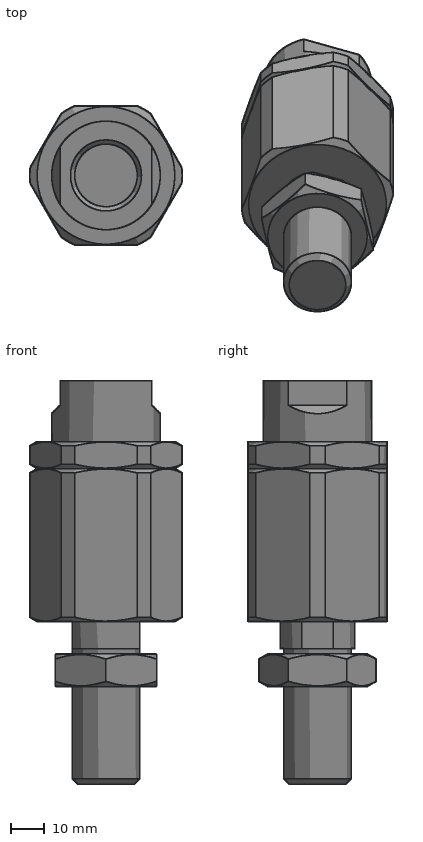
import cadquery as cq
import math

overall_height = 119
housing_base_z = 48.0
groove_z = 93.0
shoulder_z = 101.0
collar_base_z = 40.0
nut_base_z = 28.8
nut_height = 9.6

housing_flats = 41.0
housing_corner_diameter = 45.0
housing_face_diameter = 40.6
neck_diameter = 32.0
neck_flats = 27.0
neck_flat_depth = 7.3
bore_diameter = 18.5
bore_mouth_diameter = 21.0
bore_depth = 23.8

stud_diameter = 20.0
stud_chamfer = 1.7
collar_diameter = 22.0
collar_flats = stud_diameter
nut_flats = 30.0
nut_face_diameter = 29.3

hex_chamfer_angle = math.radians(30)


def cylinder(diameter, base_z, top_z):
    return cq.Workplane("XY").workplane(offset=base_z).circle(diameter / 2).extrude(top_z - base_z)


def chamfered_hex(flats, corner_diameter, face_diameter, base_z, top_z):
    """Hexagonal prism with corners on X, turned to corner_diameter with 30 degree end chamfers."""
    point_diameter = flats / math.cos(math.pi / 6)
    corner_radius = corner_diameter / 2
    face_radius = face_diameter / 2
    drop = (corner_radius - face_radius) * math.tan(hex_chamfer_angle)
    prism = cq.Workplane("XY").workplane(offset=base_z).polygon(6, point_diameter).extrude(top_z - base_z)
    turned_envelope = (
        cq.Workplane("XZ")
        .moveTo(0, base_z)
        .lineTo(face_radius, base_z)
        .lineTo(corner_radius, base_z + drop)
        .lineTo(corner_radius, top_z - drop)
        .lineTo(face_radius, top_z)
        .lineTo(0, top_z)
        .close()
        .revolve(360, (0, 0, 0), (0, 1, 0))
    )
    return prism.intersect(turned_envelope)


def housing_hex(base_z, top_z):
    return chamfered_hex(housing_flats, housing_corner_diameter, housing_face_diameter, base_z, top_z)


def make_neck():
    """Round neck with two wrench flats that run out at 45 degrees."""
    neck_radius = neck_diameter / 2
    flat_x = neck_flats / 2
    flat_end_z = overall_height - neck_flat_depth
    runout_z = flat_end_z - (neck_radius - flat_x)
    profile = (
        cq.Workplane("XZ")
        .moveTo(-neck_radius, shoulder_z)
        .lineTo(neck_radius, shoulder_z)
        .lineTo(neck_radius, runout_z)
        .lineTo(flat_x, flat_end_z)
        .lineTo(flat_x, overall_height)
        .lineTo(-flat_x, overall_height)
        .lineTo(-flat_x, flat_end_z)
        .lineTo(-neck_radius, runout_z)
        .close()
        .extrude(neck_radius, both=True)
    )
    return cylinder(neck_diameter, shoulder_z, overall_height).intersect(profile)


def make_bore():
    """Blind bore with a 45 degree countersunk mouth."""
    bore_radius = bore_diameter / 2
    mouth_radius = bore_mouth_diameter / 2
    bore_base_z = overall_height - bore_depth
    return (
        cq.Workplane("XZ")
        .moveTo(0, bore_base_z)
        .lineTo(bore_radius, bore_base_z)
        .lineTo(bore_radius, overall_height - (mouth_radius - bore_radius))
        .lineTo(mouth_radius, overall_height)
        .lineTo(0, overall_height)
        .close()
        .revolve(360, (0, 0, 0), (0, 1, 0))
    )


def make_housing():
    """Long hex and short hex, parted by a V groove, with the bored neck on top."""
    long_hex = housing_hex(housing_base_z, groove_z)
    short_hex = housing_hex(groove_z, shoulder_z)
    return long_hex.union(short_hex).union(make_neck()).cut(make_bore())


def make_stud():
    """Chamfered rod with a collar that has two wrench flats and seats on the housing."""
    rod = cylinder(stud_diameter, 0, collar_base_z).faces("<Z").chamfer(stud_chamfer)
    collar_height = housing_base_z - collar_base_z
    flats = (
        cq.Workplane("XY")
        .workplane(offset=collar_base_z)
        .rect(collar_flats, collar_diameter)
        .extrude(collar_height)
    )
    collar = cylinder(collar_diameter, collar_base_z, housing_base_z).intersect(flats)
    return rod.union(collar)


def make_nut():
    """Lock nut around the rod, turned a quarter turn so that its flats face X."""
    top_z = nut_base_z + nut_height
    point_diameter = nut_flats / math.cos(math.pi / 6)
    blank = chamfered_hex(nut_flats, point_diameter, nut_face_diameter, nut_base_z, top_z)
    turned_blank = blank.rotate((0, 0, 0), (0, 0, 1), 90)
    return turned_blank.cut(cylinder(stud_diameter, nut_base_z, top_z))


housing = make_housing()
stud = make_stud()
nut = make_nut()

result = cq.Compound.makeCompound([housing.val(), stud.val(), nut.val()])